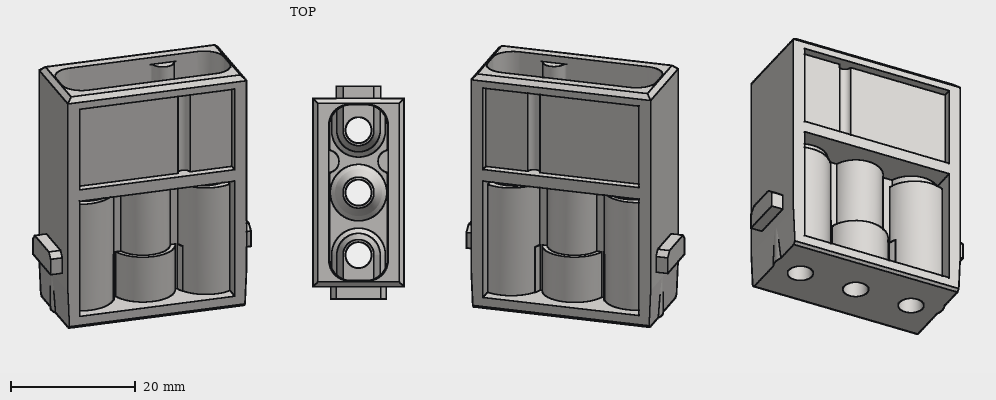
import cadquery as cq
import math

WIDTH = 14.65
LENGTH = 30.25
HEIGHT = 40.1
TOP_CHAMFER = 0.8
BOTTOM_CHAMFER = 0.45

FOOT_HEIGHT = 6.55
FOOT_INSET = 0.3
BUMP_RADIUS = 6.3 / 2
BUMP_X = -1.12

OVERALL_LENGTH = 34.2
LUG_DEPTH = (OVERALL_LENGTH - LENGTH) / 2
LUG_BOTTOM = 8.65
LUG_HEIGHT = 3.6
LUG_CHAMFER_Z = 0.92
FRONT_LUG_WIDTH = 9.0
FRONT_LUG_CHAMFER = 0.92
BACK_LUG_WIDTH = 7.2
BACK_LUG_CHAMFER = 1.12

FRAME = 2.0
FLOOR_TOP = 24.05
FLOOR_BOTTOM = FLOOR_TOP - FRAME
WINDOW_LENGTH = LENGTH - 2 * FRAME
UPPER_RECESS = 1.45
WEB_THICKNESS = 2.8

CAVITY_WIDTH = 9.55
CAVITY_LENGTH = 28.4
CAVITY_CORNER = 3.4
CAVITY_DRAFT = 0.5

RIB_X = 4.95
RIB_Y = 5.0
RIB_RADIUS = 1.8
RIB_ROOT_FILLET = 0.45
RIB_TOP = 38.9
SELECTION_MARGIN = 0.4
GROOVE_RADIUS = 1.0

PITCH = 10.02
BORE_RADIUS = 4.15 / 2

SLEEVE_RADIUS = 4.4
COLLAR_RADIUS = 5.2
COLLAR_TOP = 9.82
END_SLEEVE_RADIUS = 5.45
END_SLEEVE_Y = 10.65
END_SLEEVE_TOP = 20.57
PAD_THICKNESS = 0.1
PAD_EDGE_Y = 5.85

BOSS_TOP_RADIUS = 2.5
CENTRE_BOSS_BASE_RADIUS = 4.55
CENTRE_BOSS_NECK_RADIUS = 3.75
CENTRE_BOSS_SLOPE = 62.0
END_BOSS_BASE_RADIUS = 4.35
END_BOSS_NECK_RADIUS = 3.5
END_BOSS_SLOPE = 75.0


def upright_cylinder(x, y, radius, bottom, top):
    return cq.Workplane("XY", origin=(x, y, bottom)).circle(radius).extrude(top - bottom)


def upright_box(width, length, bottom, top, x=0.0):
    return cq.Workplane("XY", origin=(x, 0, bottom)).rect(width, length).extrude(top - bottom)


def body_block():
    """Chamfered block whose ends draft inwards over the foot."""
    block = upright_box(WIDTH, LENGTH, 0, HEIGHT)
    block = block.faces(">Z").edges().chamfer(TOP_CHAMFER)
    block = block.faces("<Z").edges("|Y").chamfer(BOTTOM_CHAMFER)
    for side in (-1, 1):
        end_y = side * LENGTH / 2
        draft = (
            cq.Workplane("YZ", origin=(-WIDTH / 2, 0, 0))
            .polyline([(end_y, FOOT_HEIGHT), (end_y, 0), (end_y - side * FOOT_INSET, 0)])
            .close()
            .extrude(WIDTH)
        )
        bump = upright_cylinder(BUMP_X, side * (LENGTH / 2 - BUMP_RADIUS), BUMP_RADIUS, 0, FOOT_HEIGHT)
        block = block.cut(draft.cut(bump))
    return block


def lug(side, width, chamfer):
    """Lug on one end, its two upper corners chamfered."""
    half = width / 2
    shoulder = LUG_BOTTOM + LUG_HEIGHT - LUG_CHAMFER_Z
    top = LUG_BOTTOM + LUG_HEIGHT
    outline = [
        (-half, LUG_BOTTOM),
        (half, LUG_BOTTOM),
        (half, shoulder),
        (half - chamfer, top),
        (chamfer - half, top),
        (-half, shoulder),
    ]
    return (
        cq.Workplane("XZ", origin=(0, side * LENGTH / 2, 0))
        .polyline(outline)
        .close()
        .extrude(-side * LUG_DEPTH)
    )


def upper_windows():
    """Shallow recesses beside the cavity, each with the groove behind its rib."""
    groove_x = WIDTH / 2 - UPPER_RECESS
    recess_x = (WIDTH - UPPER_RECESS) / 2
    recess = upright_box(UPPER_RECESS, WINDOW_LENGTH, FLOOR_TOP, HEIGHT - FRAME, recess_x)
    groove = upright_cylinder(groove_x, RIB_Y, GROOVE_RADIUS, FLOOR_TOP, HEIGHT - FRAME)
    window = recess.union(groove)
    return window.union(window.mirror("YZ"))


def end_sleeve(side):
    """Stepped sleeve around an end bore, with a thin pad facing the centre collar."""
    upper = upright_cylinder(0, side * PITCH, SLEEVE_RADIUS, FRAME, FLOOR_BOTTOM)
    lower_y = side * END_SLEEVE_Y
    lower = upright_cylinder(0, lower_y, END_SLEEVE_RADIUS, FRAME, END_SLEEVE_TOP)
    pad = upright_cylinder(0, lower_y, END_SLEEVE_RADIUS + PAD_THICKNESS, FRAME, COLLAR_TOP)
    pad = pad.intersect(upright_box(WIDTH, 2 * PAD_EDGE_Y, FRAME, COLLAR_TOP))
    return upper.union(lower).union(pad)


def lower_windows():
    """Deep recesses on both sides that leave the sleeves and the web between them."""
    hollow = upright_box(WIDTH, WINDOW_LENGTH, FRAME, FLOOR_BOTTOM)
    hollow = hollow.cut(upright_box(WEB_THICKNESS, WINDOW_LENGTH, FRAME, FLOOR_BOTTOM))
    hollow = hollow.cut(upright_cylinder(0, 0, SLEEVE_RADIUS, FRAME, FLOOR_BOTTOM))
    hollow = hollow.cut(upright_cylinder(0, 0, COLLAR_RADIUS, FRAME, COLLAR_TOP))
    for side in (-1, 1):
        hollow = hollow.cut(end_sleeve(side))
    return hollow


def boss_profile(base_radius, neck_radius, slope):
    """Right half of the boss section, as (distance from axis, height) points."""
    neck_z = FLOOR_TOP + base_radius - neck_radius
    top_z = neck_z + (neck_radius - BOSS_TOP_RADIUS) * math.tan(math.radians(slope))
    return [
        (0, FLOOR_TOP),
        (base_radius, FLOOR_TOP),
        (neck_radius, neck_z),
        (BOSS_TOP_RADIUS, top_z),
        (0, top_z),
    ]


def round_boss(y, profile):
    boss = cq.Workplane("XZ").polyline(profile).close().revolve(360, (0, 0, 0), (0, 1, 0))
    return boss.translate((0, y, 0))


def end_boss(side):
    """Round boss carried straight out to the end wall of the cavity."""
    profile = boss_profile(END_BOSS_BASE_RADIUS, END_BOSS_NECK_RADIUS, END_BOSS_SLOPE)
    y = side * PITCH
    run = CAVITY_LENGTH / 2 - PITCH
    ridge = (
        cq.Workplane("XZ", origin=(0, y, 0))
        .polyline(profile)
        .close()
        .extrude(-side * run)
    )
    return round_boss(y, profile).union(ridge).union(ridge.mirror("YZ"))


def cavity():
    """Rounded cavity, less the ribs and bosses that stand inside it."""
    rim = cq.Sketch().rect(CAVITY_WIDTH, CAVITY_LENGTH).vertices().fillet(CAVITY_CORNER)
    room = (
        cq.Workplane("XY", origin=(0, 0, HEIGHT))
        .placeSketch(rim)
        .extrude(FLOOR_TOP - HEIGHT, taper=CAVITY_DRAFT)
    )
    for side in (-1, 1):
        room = room.cut(upright_cylinder(side * RIB_X, RIB_Y, RIB_RADIUS, FLOOR_TOP, RIB_TOP))
    rib_roots = cq.selectors.BoxSelector(
        (-CAVITY_WIDTH, RIB_Y - RIB_RADIUS, FLOOR_TOP + SELECTION_MARGIN),
        (CAVITY_WIDTH, RIB_Y + RIB_RADIUS, RIB_TOP - SELECTION_MARGIN),
    )
    room = room.edges(rib_roots).fillet(RIB_ROOT_FILLET)
    for side in (-1, 1):
        room = room.cut(end_boss(side))
    centre_profile = boss_profile(CENTRE_BOSS_BASE_RADIUS, CENTRE_BOSS_NECK_RADIUS, CENTRE_BOSS_SLOPE)
    return room.cut(round_boss(0, centre_profile))


result = body_block()
result = result.union(lug(-1, FRONT_LUG_WIDTH, FRONT_LUG_CHAMFER))
result = result.union(lug(1, BACK_LUG_WIDTH, BACK_LUG_CHAMFER))
result = result.cut(cavity())
result = result.cut(upper_windows())
result = result.cut(lower_windows())
for contact in (-1, 0, 1):
    result = result.cut(upright_cylinder(0, contact * PITCH, BORE_RADIUS, 0, HEIGHT))